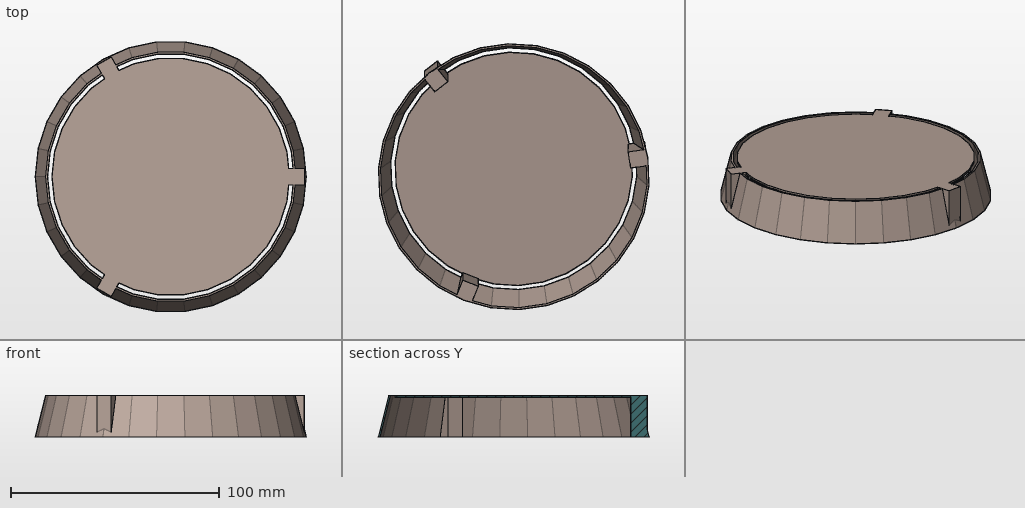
import cadquery as cq
import math

sides = 30

height = 20.0
base_radius = 65.0
top_radius = 60.0
wall = 1.0

gap = 2.0
disc_radius = top_radius - wall - gap
disc_thickness = 1.0

tab_count = 3
tab_width = 8.0
tab_reach = 64.0
disc_overlap = 1.0
tab_start = disc_radius - disc_overlap


def polygon_points(radius):
    """Corner points of a regular polygon with its first corner on +X."""
    step = 2 * math.pi / sides
    return [(radius * math.cos(i * step), radius * math.sin(i * step)) for i in range(sides)]


def faceted_cone(lower_radius, upper_radius):
    """Solid frustum with flat facets, as tall as the part."""
    return (
        cq.Workplane("XY")
        .polyline(polygon_points(lower_radius)).close()
        .workplane(offset=height)
        .polyline(polygon_points(upper_radius)).close()
        .loft(ruled=True)
    )


def make_ring():
    """Conical wall, open at both ends."""
    outside = faceted_cone(base_radius, top_radius)
    inside = faceted_cone(base_radius - wall, top_radius - wall)
    return outside.cut(inside)


def make_disc():
    """Flat plate whose upper face is level with the ring top."""
    return (
        cq.Workplane("XY", origin=(0, 0, height - disc_thickness))
        .polyline(polygon_points(disc_radius)).close()
        .extrude(disc_thickness)
    )


def make_tab(angle):
    """Upright bar running from under the disc edge outward through the ring wall."""
    return (
        cq.Workplane("XY")
        .box(tab_reach - tab_start, tab_width, height, centered=(False, True, False))
        .translate((tab_start, 0, 0))
        .rotate((0, 0, 0), (0, 0, 1), angle)
    )


result = make_ring().union(make_disc())
for index in range(tab_count):
    result = result.union(make_tab(index * 360 / tab_count))